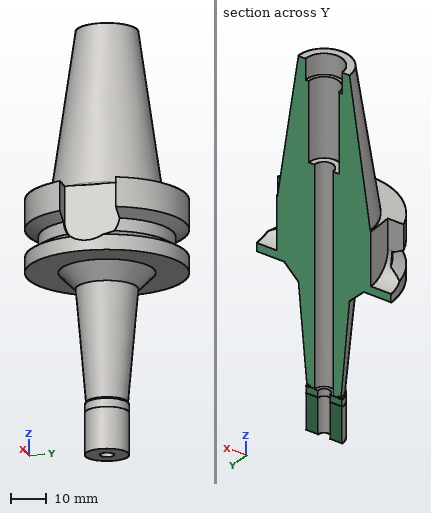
import cadquery as cq
import math

nose_diameter = 12.5
through_diameter = 4.1
nut_height = 12.2
ring_height = 2.5
ring_top = nut_height + ring_height

spigot_diameter = 9.9
spigot_height = 0.5
neck_bottom = ring_top + spigot_height
neck_bottom_diameter = 11.8
neck_top = 48.2
neck_top_diameter = 17.6

flange_diameter = 46.0
flange_bottom = 53.1
flange_top = 74.3
lower_rim_height = 4.5
upper_rim_height = 8.6
groove_diameter = 38.5
groove_wall_angle = 30
shoulder_diameter = neck_top_diameter + 2 * (flange_bottom - neck_top)

overall_height = 123.4
gauge_height = 75.0
gauge_diameter = 31.7
taper_top_diameter = 17.6

counterbore_diameter = 12.5
counterbore_depth = 7.0
thread_diameter = 10.2
thread_depth = 34.0
coolant_diameter = 6.3
coolant_depth = overall_height - ring_top

slot_width = 16.2
slot_floor_x = 16.2
slot_bottom = 56.0


def make_holder_blank():
    """Spigot, neck, grooved flange and taper, turned about the Z axis."""
    groove_depth = (flange_diameter - groove_diameter) / 2
    groove_wall_height = groove_depth * math.tan(math.radians(groove_wall_angle))
    lower_rim_top = flange_bottom + lower_rim_height
    upper_rim_bottom = flange_top - upper_rim_height
    diameters_and_heights = [
        (0, ring_top),
        (spigot_diameter, ring_top),
        (spigot_diameter, neck_bottom),
        (neck_bottom_diameter, neck_bottom),
        (neck_top_diameter, neck_top),
        (shoulder_diameter, flange_bottom),
        (flange_diameter, flange_bottom),
        (flange_diameter, lower_rim_top),
        (groove_diameter, lower_rim_top + groove_wall_height),
        (groove_diameter, upper_rim_bottom - groove_wall_height),
        (flange_diameter, upper_rim_bottom),
        (flange_diameter, flange_top),
        (gauge_diameter, flange_top),
        (gauge_diameter, gauge_height),
        (taper_top_diameter, overall_height),
        (0, overall_height),
    ]
    profile = [(diameter / 2, height) for diameter, height in diameters_and_heights]
    return cq.Workplane("XZ").polyline(profile).close().revolve(360, (0, 0, 0), (0, 1, 0))


def axial_hole(diameter, depth):
    """Cutter for a flat-bottomed hole on the axis, sunk from the taper's end."""
    bottom = overall_height - depth
    return cq.Workplane("XY", origin=(0, 0, bottom)).circle(diameter / 2).extrude(depth)


def drive_slot(side):
    """Cutter for a round-bottomed slot, open upwards and outwards; side is -1 or +1 along X."""
    half_width = slot_width / 2
    arc_center_z = slot_bottom + half_width
    past_rim = side * flange_diameter / 2
    return (
        cq.Workplane("YZ", origin=(side * slot_floor_x, 0, 0))
        .moveTo(-half_width, flange_top)
        .lineTo(-half_width, arc_center_z)
        .threePointArc((0, slot_bottom), (half_width, arc_center_z))
        .lineTo(half_width, flange_top)
        .close()
        .extrude(past_rim)
    )


def make_holder():
    """Tool holder with its stepped bore, which runs right through, and both drive slots."""
    holder = make_holder_blank()
    holder = holder.cut(axial_hole(counterbore_diameter, counterbore_depth))
    holder = holder.cut(axial_hole(thread_diameter, thread_depth))
    holder = holder.cut(axial_hole(coolant_diameter, coolant_depth))
    for side in (-1, 1):
        holder = holder.cut(drive_slot(side))
    return holder


def nose_cylinder(bottom, height):
    """Plain cylinder of the nose diameter with the through hole along its axis."""
    return (
        cq.Workplane("XY", origin=(0, 0, bottom))
        .circle(nose_diameter / 2)
        .circle(through_diameter / 2)
        .extrude(height)
    )


def make_spacer_ring():
    """Ring between the nut and the holder's spigot."""
    return nose_cylinder(nut_height, ring_height)


def make_nut():
    """Cylinder at the free end of the nose."""
    return nose_cylinder(0, nut_height)


holder = make_holder()
spacer_ring = make_spacer_ring()
nut = make_nut()

result = cq.Compound.makeCompound([holder.val(), spacer_ring.val(), nut.val()])